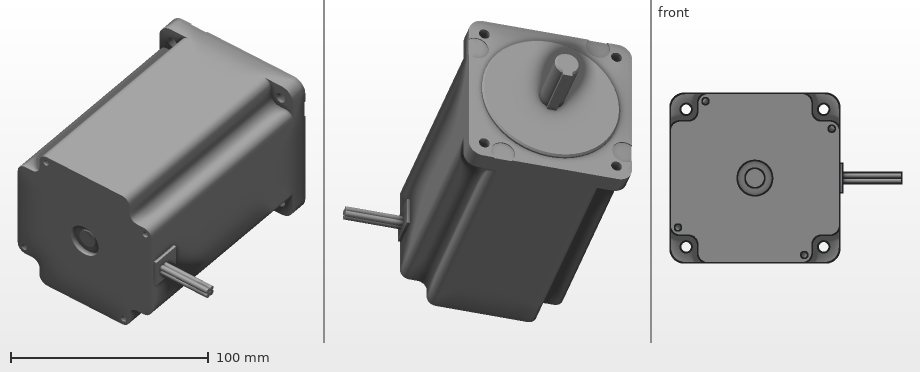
import cadquery as cq
import math

BODY_SIZE = 86.0
HALF_SIZE = BODY_SIZE / 2
FLANGE_FACE = 126.5
TOTAL_LENGTH = 158.2

FLANGE_THICKNESS = 10.0
FLANGE_CORNER_RADIUS = 7.5
MOUNT_HOLE_OFFSET = 34.8
MOUNT_HOLE_DIAMETER = 5.7

CORNER_WALL = 29.0
CORNER_BLEND_RADIUS = 4.9

PILOT_DIAMETER = 73.0
PILOT_HEIGHT = 2.0
PILOT_CHAMFER = 1.0
SHAFT_DIAMETER = 13.1
SHAFT_CHAMFER = 1.0
KEY_WIDTH = 5.0
KEY_REACH = 7.8

SCREW_ALONG = 25.0
SCREW_OUT = 39.0
SCREW_HOLE_DIAMETER = 3.5
SCREW_HOLE_DEPTH = 4.7
SCREW_SEAT_DIAMETER = 12.7
SCREW_SEAT_DEPTH = 0.6

POCKET_DIAMETER = 17.9
POCKET_DEPTH = 3.0
SHAFT_STUB_DIAMETER = 10.0
SHAFT_STUB_HEIGHT = 1.0

GROMMET_THICKNESS = 1.6
GROMMET_START = 2.0
GROMMET_LENGTH = 16.3
GROMMET_WIDTH = 15.0
WIRE_REACH = 31.5
WIRE_DIAMETER = 3.0
WIRE_PITCH = 2.7
BUNDLE_CENTER_Y = 7.9


def plane_at(y):
    """XZ plane at the given Y, with its normal along +Y and local (x, y) = (-X, Z)."""
    return cq.Workplane(cq.Plane(origin=(0, y, 0), xDir=(-1, 0, 0), normal=(0, 1, 0)))


def cylinder(diameter, start, length, points=((0, 0),)):
    """Cylinders along +Y at the given (X, Z) points."""
    local_points = [(-x, z) for x, z in points]
    return plane_at(start).pushPoints(local_points).circle(diameter / 2).extrude(length)


def square_points(offset):
    """Corners of a centred square with the given half side."""
    return [(x, z) for x in (-offset, offset) for z in (-offset, offset)]


def make_corner_cutter():
    """Waste behind one flange corner: two walls, a rounded valley and two rounded lips."""
    face_end = CORNER_WALL - CORNER_BLEND_RADIUS
    lip = HALF_SIZE - CORNER_BLEND_RADIUS
    valley = CORNER_WALL + CORNER_BLEND_RADIUS
    diagonal = CORNER_BLEND_RADIUS * math.sqrt(0.5)
    return (
        plane_at(0)
        .moveTo(face_end, HALF_SIZE)
        .threePointArc((face_end + diagonal, lip + diagonal), (CORNER_WALL, lip))
        .lineTo(CORNER_WALL, valley)
        .threePointArc((valley - diagonal, valley - diagonal), (valley, CORNER_WALL))
        .lineTo(lip, CORNER_WALL)
        .threePointArc((lip + diagonal, face_end + diagonal), (HALF_SIZE, face_end))
        .lineTo(HALF_SIZE, HALF_SIZE)
        .close()
        .extrude(FLANGE_FACE - FLANGE_THICKNESS)
    )


def make_flanged_body():
    """Rounded square body with stepped corners and a mounting hole in each flange corner."""
    body = plane_at(0).rect(BODY_SIZE, BODY_SIZE).extrude(FLANGE_FACE)
    body = body.edges("|Y").fillet(FLANGE_CORNER_RADIUS)
    cutter = make_corner_cutter()
    for turn in range(4):
        body = body.cut(cutter.rotate((0, 0, 0), (0, 1, 0), 90 * turn))
    return body.cut(cylinder(MOUNT_HOLE_DIAMETER, 0, FLANGE_FACE, square_points(MOUNT_HOLE_OFFSET)))


def make_screw_recesses():
    """Blind holes in the rear face and shallow seats that break out of the flange edge."""
    points = [
        (-SCREW_ALONG, SCREW_OUT),
        (SCREW_OUT, SCREW_ALONG),
        (SCREW_ALONG, -SCREW_OUT),
        (-SCREW_OUT, -SCREW_ALONG),
    ]
    holes = cylinder(SCREW_HOLE_DIAMETER, 0, SCREW_HOLE_DEPTH, points)
    seats = cylinder(SCREW_SEAT_DIAMETER, FLANGE_FACE - SCREW_SEAT_DEPTH, SCREW_SEAT_DEPTH, points)
    return holes.union(seats)


def make_rear_pocket():
    """Ring-shaped waste that leaves the shaft stub standing on the pocket floor."""
    pocket = cylinder(POCKET_DIAMETER, 0, POCKET_DEPTH)
    stub = cylinder(SHAFT_STUB_DIAMETER, POCKET_DEPTH - SHAFT_STUB_HEIGHT, SHAFT_STUB_HEIGHT)
    return pocket.cut(stub)


def make_pilot_and_shaft():
    """Chamfered pilot disc and shaft, with a full-length key on the -Z side of the shaft."""
    pilot = cylinder(PILOT_DIAMETER, FLANGE_FACE, PILOT_HEIGHT).faces(">Y").chamfer(PILOT_CHAMFER)
    shaft_length = TOTAL_LENGTH - FLANGE_FACE
    shaft = cylinder(SHAFT_DIAMETER, FLANGE_FACE, shaft_length).faces(">Y").chamfer(SHAFT_CHAMFER)
    key = plane_at(FLANGE_FACE).center(0, -KEY_REACH / 2).rect(KEY_WIDTH, KEY_REACH).extrude(shaft_length)
    return pilot.union(shaft).union(key)


def make_cable():
    """Grommet plate and a two by two bundle of wires that slightly overlap."""
    side = cq.Workplane("YZ", origin=(HALF_SIZE, 0, 0))
    grommet_center = GROMMET_START + GROMMET_LENGTH / 2
    grommet = side.center(grommet_center, 0).rect(GROMMET_LENGTH, GROMMET_WIDTH)
    cable = grommet.extrude(GROMMET_THICKNESS)
    for y, z in square_points(WIRE_PITCH / 2):
        wire = side.center(BUNDLE_CENTER_Y + y, z).circle(WIRE_DIAMETER / 2).extrude(WIRE_REACH)
        cable = cable.union(wire)
    return cable


result = (
    make_flanged_body()
    .cut(make_screw_recesses())
    .cut(make_rear_pocket())
    .union(make_pilot_and_shaft())
    .union(make_cable())
)